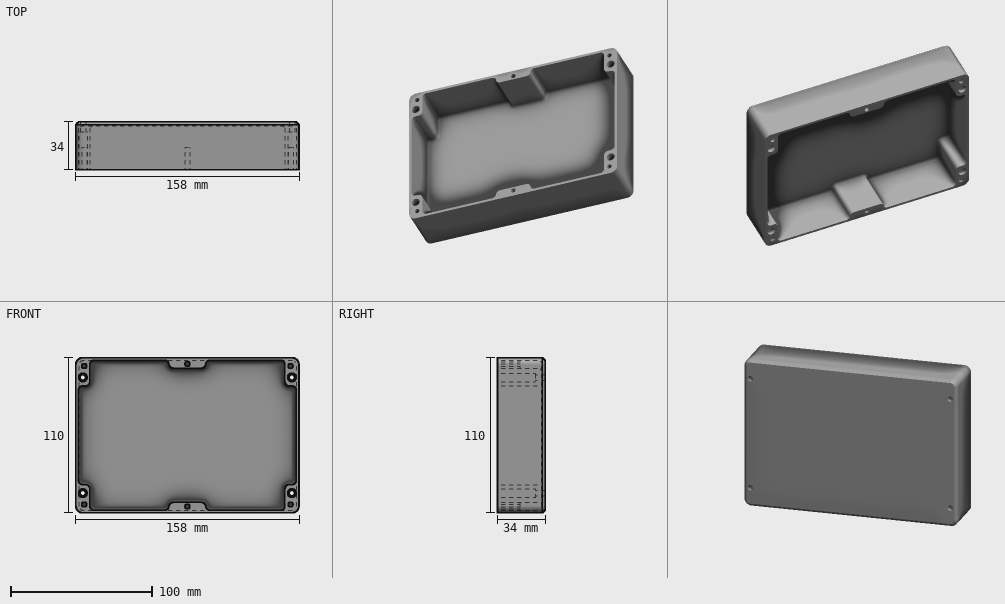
import cadquery as cq
import math

length = 158.0
depth = 34.0
height = 110.0
corner_radius = 5.0
back_chamfer = 2.0

wall = 1.9
floor_thickness = 3.0
bend_radius = 3.0
floor_fillet = 2.0

corner_boss_length = 10.0
corner_boss_height = 20.0
middle_boss_height = 7.5
middle_boss_flat = 20.0

screw_hole_diameter = 3.5
screw_hole_depth = 15.8
corner_screw_inset = 6.0
middle_screw_inset_z = 4.6

mount_hole_diameter = 4.0
mount_bore_diameter = 6.0
mount_seat_thickness = 7.1
mount_inset_x = 5.0
mount_inset_z = 14.0

half_length = length / 2
half_height = height / 2
cavity_depth = depth - floor_thickness

open_face = cq.Plane(origin=(0, -depth / 2, 0), xDir=(1, 0, 0), normal=(0, -1, 0))


def mirrored_points(x, z):
    """The point (x, z) and its mirror images in all four quarters of the face."""
    return [(side_x * x, side_z * z) for side_x in (1, -1) for side_z in (1, -1)]


def make_body():
    """Block with rounded corners and a chamfer around its back."""
    body = cq.Workplane("XY").box(length, depth, height)
    body = body.edges("|Y").fillet(corner_radius)
    return body.faces(">Y").edges().chamfer(back_chamfer)


def make_middle_boss(side_z):
    """Boss on the middle of a long wall; each flank is two tangent arcs forming an S."""
    wall_z = half_height - wall
    top_z = half_height - middle_boss_height
    middle_z = (wall_z + top_z) / 2
    rise = wall_z - top_z
    flank_run = math.sqrt((2 * bend_radius) ** 2 - (2 * bend_radius - rise) ** 2)
    half_sweep = math.asin(flank_run / (2 * bend_radius)) / 2
    arc_run = bend_radius * math.sin(half_sweep)
    arc_rise = bend_radius * (1 - math.cos(half_sweep))
    top_x = middle_boss_flat / 2
    middle_x = top_x + flank_run / 2
    foot_x = top_x + flank_run

    def at(x, z):
        return (x, side_z * z)

    return (
        cq.Workplane(open_face)
        .moveTo(*at(-foot_x, wall_z))
        .threePointArc(at(-foot_x + arc_run, wall_z - arc_rise), at(-middle_x, middle_z))
        .threePointArc(at(-top_x - arc_run, top_z + arc_rise), at(-top_x, top_z))
        .lineTo(*at(top_x, top_z))
        .threePointArc(at(top_x + arc_run, top_z + arc_rise), at(middle_x, middle_z))
        .threePointArc(at(foot_x - arc_run, wall_z - arc_rise), at(foot_x, wall_z))
        .close()
        .extrude(-cavity_depth)
    )


def make_cavity():
    """Space inside the walls, stepped around the bosses and rounded along the floor."""
    cavity = cq.Workplane(open_face).rect(length - 2 * wall, height - 2 * wall).extrude(-cavity_depth)
    corner_bosses = (
        cq.Workplane(open_face)
        .pushPoints(mirrored_points(half_length, half_height))
        .rect(2 * corner_boss_length, 2 * corner_boss_height)
        .extrude(-cavity_depth)
    )
    cavity = cavity.cut(corner_bosses).edges("|Y").fillet(bend_radius)
    for side_z in (1, -1):
        cavity = cavity.cut(make_middle_boss(side_z))
    return cavity.faces(">Y").edges().fillet(floor_fillet)


def drill(points, diameter, hole_depth):
    """Cylinders running from the open face into the part."""
    return cq.Workplane(open_face).pushPoints(points).circle(diameter / 2).extrude(-hole_depth)


corner_screws = mirrored_points(half_length - corner_screw_inset, half_height - corner_screw_inset)
middle_screws = [(0, side_z * (half_height - middle_screw_inset_z)) for side_z in (1, -1)]
mounts = mirrored_points(half_length - mount_inset_x, half_height - mount_inset_z)

result = make_body().cut(make_cavity())
result = result.cut(drill(corner_screws + middle_screws, screw_hole_diameter, screw_hole_depth))
result = result.cut(drill(mounts, mount_hole_diameter, depth))
result = result.cut(drill(mounts, mount_bore_diameter, depth - mount_seat_thickness))